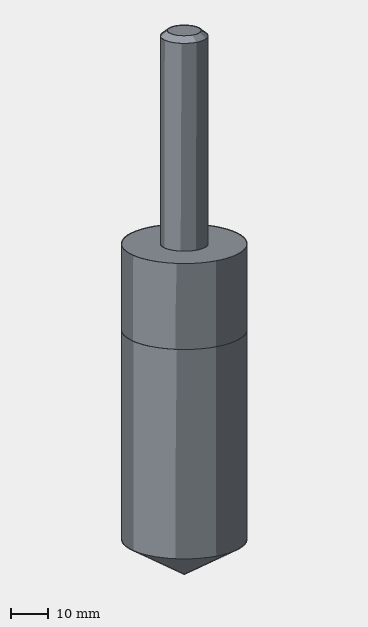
import cadquery as cq

total_height = 152.4
body_diameter = 33.4
rod_diameter = 12.6
point_height = 9.9
joint_height = 68.6
cap_thickness = 24.1
rod_chamfer_height = 1.5
rod_chamfer_width = 1.8

body_radius = body_diameter / 2
rod_radius = rod_diameter / 2
cap_top = joint_height + cap_thickness
rod_length = total_height - cap_top


def make_pointed_body():
    """Solid cylinder with a conical point, its tip at the origin."""
    return (
        cq.Workplane("XZ")
        .polyline([
            (0, 0),
            (body_radius, point_height),
            (body_radius, joint_height),
            (0, joint_height),
        ])
        .close()
        .revolve(360, (0, 0), (0, 1))
    )


def make_rod_cap():
    """Round cap carrying a slender rod with a chamfered top end."""
    cap = (
        cq.Workplane("XY")
        .workplane(offset=joint_height)
        .circle(body_radius)
        .extrude(cap_thickness)
    )
    rod = (
        cq.Workplane("XY")
        .workplane(offset=cap_top)
        .circle(rod_radius)
        .extrude(rod_length)
        .faces(">Z")
        .chamfer(rod_chamfer_height, rod_chamfer_width)
    )
    return cap.union(rod)


pointed_body = make_pointed_body()
rod_cap = make_rod_cap()
result = cq.Compound.makeCompound([pointed_body.val(), rod_cap.val()])